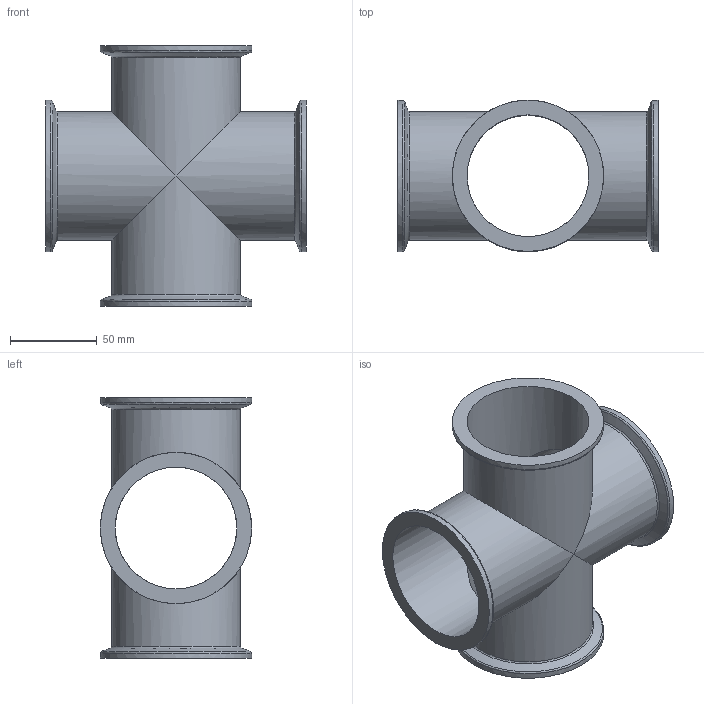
import cadquery as cq
import math

span = 150.0
bore_diameter = 70.0
tube_diameter = 74.0
flange_diameter = 87.0
rim_width = 3.8
cone_angle = 20.0
blend_radius = 1.0

half_span = span / 2
bore_radius = bore_diameter / 2
tube_radius = tube_diameter / 2
flange_radius = flange_diameter / 2
cone_height = (flange_radius - tube_radius) * math.tan(math.radians(cone_angle))
rim_corner_z = half_span - rim_width
cone_foot_z = rim_corner_z - cone_height


def circles_at(z):
    """Selector for the circular edges that lie at height z."""
    margin = blend_radius / 2
    return cq.selectors.BoxSelector(
        (-flange_diameter, -flange_diameter, z - margin),
        (flange_diameter, flange_diameter, z + margin),
        boundingbox=True,
    )


def vertical_run():
    """Solid tube along Z with a flange at both ends, revolved from its half profile."""
    profile = (
        cq.Workplane("XZ")
        .moveTo(0, -half_span)
        .lineTo(flange_radius, -half_span)
        .lineTo(flange_radius, -rim_corner_z)
        .lineTo(tube_radius, -cone_foot_z)
        .lineTo(tube_radius, cone_foot_z)
        .lineTo(flange_radius, rim_corner_z)
        .lineTo(flange_radius, half_span)
        .lineTo(0, half_span)
        .close()
    )
    body = profile.revolve(360, (0, 0, 0), (0, 1, 0))
    for height in (rim_corner_z, cone_foot_z):
        for z in (-height, height):
            body = body.edges(circles_at(z)).fillet(blend_radius)
    return body


def vertical_bore():
    """Cylinder along Z that opens the tube from end to end."""
    return cq.Workplane("XY").circle(bore_radius).extrude(half_span, both=True)


def turned_to_x(body):
    """Turn a body that lies along Z so that it lies along X."""
    return body.rotate((0, 0, 0), (0, 1, 0), 90)


run = vertical_run()
bore = vertical_bore()
result = run.union(turned_to_x(run)).cut(bore).cut(turned_to_x(bore))